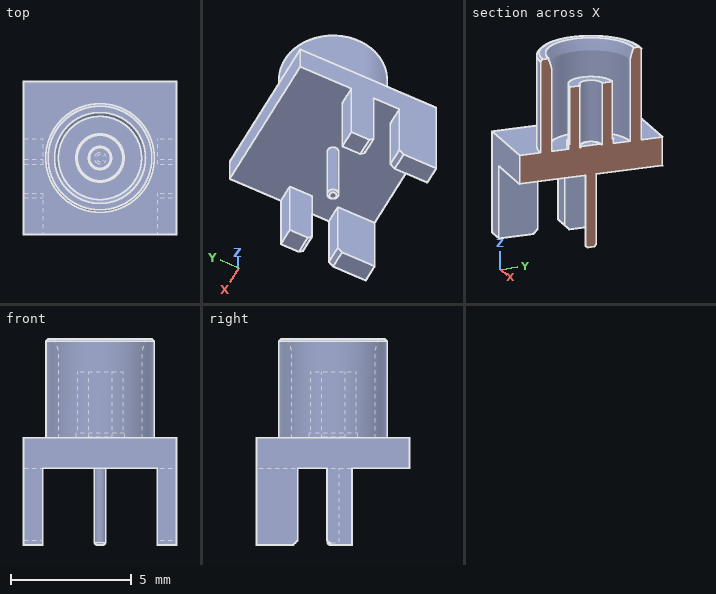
import cadquery as cq


plate_side = 6.35
total_height = 8.54
plate_thickness = 1.27
leg_length = 3.18
half_side = plate_side / 2
barrel_height = total_height - plate_thickness - leg_length
rim_z = plate_thickness + barrel_height

barrel_diameter = 4.5
rim_chamfer = 0.1
bore_diameter = 3.45
bore_mouth_diameter = 3.77
bore_mouth_depth = 0.5
bore_floor_z = plate_thickness

post_diameter = 1.89
post_top_below_rim = 1.37
collar_diameter = 2.0
collar_height = 0.2
post_top_z = rim_z - post_top_below_rim

socket_diameter = 0.96
contact_bevel = 0.045
contact_top_z = bore_floor_z + contact_bevel

leg_width = 0.81
leg_chamfer = 0.2
front_leg_depth = 1.725
middle_leg_front_y = -0.25
middle_leg_back_y = 0.79
middle_leg_depth = middle_leg_back_y - middle_leg_front_y

pin_diameter = 0.48
pin_tip_chamfer = 0.09


def cylinder(diameter, bottom_z, top_z):
    """Solid cylinder on the barrel axis between two heights."""
    return cq.Workplane("XY").workplane(offset=bottom_z).circle(diameter / 2).extrude(top_z - bottom_z)


def make_plate():
    return cq.Workplane("XY").box(plate_side, plate_side, plate_thickness, centered=(True, True, False))


def make_barrel():
    """Tube with a chamfered rim and a tapered mouth leading into the bore."""
    barrel = cylinder(barrel_diameter, 0, rim_z).faces(">Z").edges().chamfer(rim_chamfer)
    bore = cylinder(bore_diameter, bore_floor_z, rim_z)
    mouth_start_z = rim_z - bore_mouth_depth
    mouth = (
        cq.Workplane("XZ")
        .moveTo(0, mouth_start_z)
        .lineTo(bore_diameter / 2, mouth_start_z)
        .lineTo(bore_mouth_diameter / 2, rim_z)
        .lineTo(0, rim_z)
        .close()
        .revolve(360, (0, 0), (0, 1))
    )
    return barrel.cut(bore).cut(mouth)


def make_post():
    """Stepped post with a blind socket that ends on the bevelled contact."""
    post = cylinder(post_diameter, 0, post_top_z)
    collar = cylinder(collar_diameter, 0, bore_floor_z + collar_height)
    socket = cylinder(socket_diameter, bore_floor_z, post_top_z)
    contact = cylinder(socket_diameter, 0, contact_top_z).faces(">Z").edges().chamfer(contact_bevel)
    return post.union(collar).cut(socket).union(contact)


def make_leg(side, front_y, depth, chamfered_edge):
    """Leg flush with the plate edge on one X side, with one bottom edge chamfered."""
    center_x = side * (half_side - leg_width / 2)
    center_y = front_y + depth / 2
    leg = cq.Workplane("XY").center(center_x, center_y).rect(leg_width, depth).extrude(-leg_length)
    return leg.faces("<Z").edges(chamfered_edge).chamfer(leg_chamfer)


def make_pin():
    return cylinder(pin_diameter, -leg_length, 0).faces("<Z").edges().chamfer(pin_tip_chamfer)


result = make_plate().union(make_barrel()).union(make_post()).union(make_pin())
for side in (-1, 1):
    result = result.union(make_leg(side, -half_side, front_leg_depth, ">Y"))
    result = result.union(make_leg(side, middle_leg_front_y, middle_leg_depth, "<Y"))